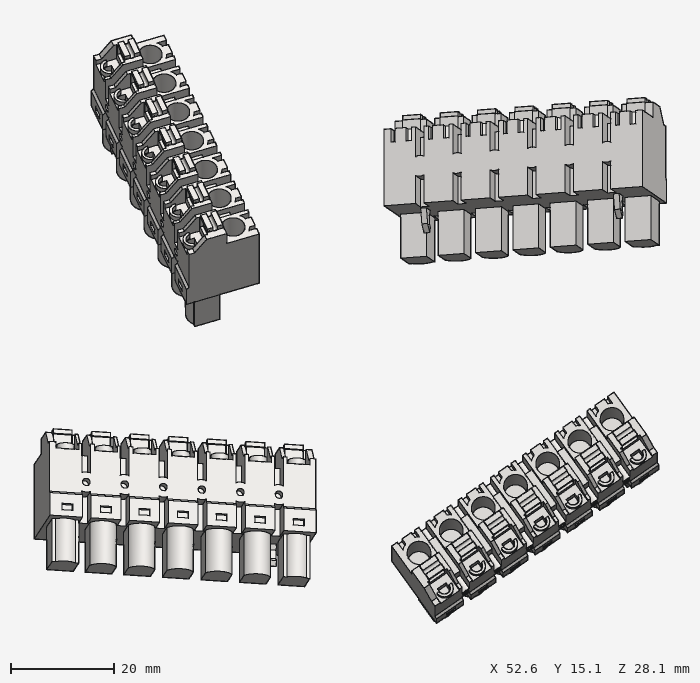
import cadquery as cq
import math


length = 52.65
pole_count = 7
end_margin = 3.5
pitch = (length - 2 * end_margin) / (pole_count - 1)
pole_width = 5.9
gap_width = pitch - pole_width
pole_centres = [(i - (pole_count - 1) / 2) * pitch for i in range(pole_count)]
gap_centres = [x + pitch / 2 for x in pole_centres[:-1]]

depth = 15.05
face_y = 0.55
base_z = 8.75
skirt_z = 13.3
skirt_slope_z = 13.8
shoulder_z = 23.95
top_z = 27.0
total_height = 28.05
slope_start_y = 1.7
slope_end_y = 4.15
step_y = 8.3

recess_depth = 3.1
web_z = 22.55
boss_z = 16.15
boss_radius = 2.05
boss_hole_diameter = 1.5
boss_hole_depth = 1.6

top_offset = 0.08
window_width = 4.55
window_back_y = 4.8
window_floor_z = 22.7
collar_y = 2.4
collar_outer_radius = 1.75
collar_inner_radius = 1.15
probe_width = 2.0
probe_back_y = 3.25
probe_depth = 2.65
wire_y = 10.9
wire_diameter = 4.6
wire_depth = 10.55
notch_end_radius = 3.15
notch_inner_x = 1.1
notch_left_x = 2.2
notch_right_x = 1.9
notch_depth = 2.65

pocket_width = 2.15
pocket_bottom_z = 10.0
pocket_height = 1.3
pocket_depth = 0.8

pin_width = 5.25
pin_front_y = 1.25
pin_back_y = 7.2
pin_front_radius = 2.95
end_pin_corner_y = 2.0

latch_profile = [(10.85, base_z), (10.1, 5.8), (8.8, 4.25), (8.35, 5.35),
                 (8.9, 5.9), (8.9, 7.65), (8.5, base_z)]

lever_width = 3.7
lever_bottom_z = 24.5
lever_face_y = 5.4
prong_front_y = 4.9
prong_back_y = 8.15
prong_base_z = 27.15
groove_y = 6.55
groove_width = 0.9
groove_sag = 0.35


def block(x_min, x_max, y_min, y_max, z_min, z_max):
    """Box given by its limits along each axis."""
    size = (x_max - x_min, y_max - y_min, z_max - z_min)
    return cq.Workplane("XY").box(*size, centered=False).translate((x_min, y_min, z_min))


def centred_block(x, width, y_min, y_max, z_min, z_max):
    """Box centred on x, given by its limits along Y and Z."""
    return block(x - width / 2, x + width / 2, y_min, y_max, z_min, z_max)


def upright(x, y, radius, z_min, z_max):
    """Cylinder along Z."""
    return cq.Workplane("XY", origin=(x, y, z_min)).circle(radius).extrude(z_max - z_min)


def lengthwise(x, z, radius, y_min, y_max):
    """Cylinder along Y."""
    return cq.Workplane("XZ", origin=(x, y_min, z)).circle(radius).extrude(y_min - y_max)


def housing_body():
    profile = [(0, base_z), (depth, base_z), (depth, shoulder_z), (step_y, shoulder_z),
               (step_y, top_z), (slope_end_y, top_z), (slope_start_y, shoulder_z),
               (face_y, shoulder_z), (face_y, skirt_slope_z), (0, skirt_z)]
    return cq.Workplane("YZ", origin=(-length / 2, 0, 0)).polyline(profile).close().extrude(length)


def gap_cut(x):
    """Space between two poles, leaving a web and a round boss on its front and rear."""
    web_front_y = face_y + recess_depth
    web_back_y = depth - recess_depth
    space = centred_block(x, gap_width, 0, web_front_y, base_z, top_z)
    space = space.union(centred_block(x, gap_width, web_back_y, depth, base_z, top_z))
    space = space.union(centred_block(x, gap_width, 0, depth, web_z, top_z))
    space = space.cut(lengthwise(x, boss_z, boss_radius, face_y, depth))
    hole = lengthwise(x, boss_z, boss_hole_diameter / 2, face_y, face_y + boss_hole_depth)
    return space.union(hole)


def collar(x):
    """Half ring standing on the window floor, open towards the back."""
    ring = upright(x, collar_y, collar_outer_radius, window_floor_z, shoulder_z)
    ring = ring.cut(upright(x, collar_y, collar_inner_radius, window_floor_z, shoulder_z))
    front_half = centred_block(x, window_width, face_y, collar_y, window_floor_z, shoulder_z)
    return ring.intersect(front_half)


def window_cut(x):
    """Front window, leaving the collar on its floor."""
    return centred_block(x, window_width, 0, window_back_y, window_floor_z, top_z).cut(collar(x))


def probe_hole_cut(x):
    """Hole in the window floor, with a round front inside the collar and a square back."""
    radius = probe_width / 2
    sketch = cq.Workplane("XY", origin=(x, 0, window_floor_z)).moveTo(-radius, collar_y)
    sketch = sketch.threePointArc((0, collar_y - radius), (radius, collar_y))
    sketch = sketch.lineTo(radius, probe_back_y).lineTo(-radius, probe_back_y).close()
    return sketch.extrude(-probe_depth)


def wire_entry_cut(x):
    """Round wire hole with a pair of notches running to the rear face."""
    notch_z = shoulder_z - notch_depth
    hole = upright(x, wire_y, wire_diameter / 2, shoulder_z - wire_depth, shoulder_z)
    notches = block(x - notch_left_x, x - notch_inner_x, wire_y, depth, notch_z, shoulder_z)
    notches = notches.union(block(x + notch_inner_x, x + notch_right_x, wire_y, depth, notch_z, shoulder_z))
    notches = notches.cut(upright(x, wire_y, notch_end_radius, notch_z, shoulder_z))
    return hole.union(notches)


def lever_slot_cut(x):
    return centred_block(x, lever_width, window_back_y, step_y, lever_bottom_z, top_z)


def skirt_pocket_cut(x):
    return centred_block(x, pocket_width, 0, pocket_depth, pocket_bottom_z, pocket_bottom_z + pocket_height)


def pin(x):
    """Pin with a flat back, flat sides and a rounded front."""
    half_width = pin_width / 2
    side_y = pin_front_y + pin_front_radius - math.sqrt(pin_front_radius ** 2 - half_width ** 2)
    sketch = cq.Workplane("XY").moveTo(x - half_width, side_y)
    sketch = sketch.threePointArc((x, pin_front_y), (x + half_width, side_y))
    sketch = sketch.lineTo(x + half_width, pin_back_y).lineTo(x - half_width, pin_back_y).close()
    return sketch.extrude(base_z)


def end_pin_corners(x):
    return centred_block(x, pin_width, end_pin_corner_y, pin_back_y, 0, base_z)


def latch(x_start, x_end):
    sketch = cq.Workplane("YZ", origin=(x_start, 0, 0)).polyline(latch_profile).close()
    return sketch.extrude(x_end - x_start)


def make_housing():
    body = housing_body()
    for x in gap_centres:
        body = body.cut(gap_cut(x))
    for x in pole_centres:
        top_x = x + top_offset
        body = body.cut(window_cut(top_x))
        body = body.cut(probe_hole_cut(top_x))
        body = body.cut(lever_slot_cut(top_x))
        body = body.cut(wire_entry_cut(top_x))
        body = body.cut(skirt_pocket_cut(x))
        body = body.union(pin(x))
    for x in (pole_centres[0], pole_centres[-1]):
        body = body.union(end_pin_corners(x))
    body = body.union(latch(pole_centres[0] + pin_width / 2, gap_centres[0]))
    body = body.union(latch(gap_centres[-1], pole_centres[-1] - pin_width / 2))
    return body


def lever_groove_cut(x):
    """Straight-sided groove across the lever with a rounded floor."""
    front_y = groove_y - groove_width / 2
    back_y = groove_y + groove_width / 2
    sketch = cq.Workplane("YZ", origin=(x - lever_width / 2, 0, 0)).moveTo(front_y, total_height)
    sketch = sketch.lineTo(front_y, prong_base_z)
    sketch = sketch.threePointArc((groove_y, prong_base_z - groove_sag), (back_y, prong_base_z))
    return sketch.lineTo(back_y, total_height).close().extrude(lever_width)


def make_lever(x):
    """Release lever: a block in the housing slot carrying two prongs with a groove between them."""
    body = centred_block(x, lever_width, lever_face_y, step_y, lever_bottom_z, prong_base_z)
    prongs = centred_block(x, lever_width, prong_front_y, prong_back_y, prong_base_z, total_height)
    return body.union(prongs).cut(lever_groove_cut(x))


housing = make_housing()
levers = [make_lever(x + top_offset) for x in pole_centres]

lever_solids = [lever.solids().val() for lever in levers]

result = cq.Compound.makeCompound([housing.solids().val(), *lever_solids])